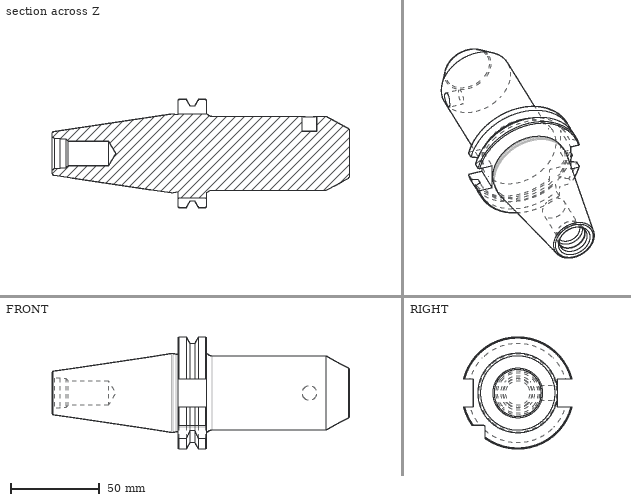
import cadquery as cq
import math

length = 168.2
taper_end = 67.5
gauge_plane = 68.5
relief_start = 70.2
flange_start = 71.2
flange_width = 16.3
flange_end = flange_start + flange_width
nose_start = 155.0

taper_small_radius = 12.3
neck_radius = 22.4
relief_radius = 22.0
flange_diameter = 63.5
flange_radius = flange_diameter / 2
groove_radius = 28.1
body_radius = 21.0
nose_radius = 13.8

small_end_chamfer = 0.8
small_end_chamfer_length = 0.5
flange_chamfer = 0.7
nose_chamfer = 0.5
root_fillet_radius = 3.7
root_fillet_height = 1.5

groove_centre = 79.4
groove_half_floor = 1.3
groove_half_mouth = groove_half_floor + (flange_radius - groove_radius) * math.tan(math.radians(30))

slot_width = 15.8
slot_floor_front = 25.2
slot_floor_back = 22.4
notch_y = 18.5
notch_z = 18.3
notch_fillet = 0.8

bore_mouth_radius = 9.6
bore_mouth_depth = 1.5
pilot_radius = 8.4
pilot_depth = 4.5
inner_pilot_radius = 8.0
inner_pilot_depth = 8.0
drill_radius = 6.9
drill_depth = 32.0
drill_half_angle = 59.0

screw_x = 145.5
screw_diameter = 8.2
screw_depth = 8.4


def make_turned_body():
    """Revolve the taper, flange, shank and nose about the X axis."""
    taper_slope = (neck_radius - taper_small_radius) / taper_end
    chamfer_radius = taper_small_radius + taper_slope * small_end_chamfer_length
    root_radius = body_radius + root_fillet_height
    root_length = math.sqrt(root_fillet_radius**2 - (root_fillet_radius - root_fillet_height) ** 2)
    root_end = flange_end + root_length
    half_angle = 0.5 * math.asin(root_length / root_fillet_radius)
    root_mid = (
        root_end - root_fillet_radius * math.sin(half_angle),
        body_radius + root_fillet_radius * (1 - math.cos(half_angle)),
    )
    nose_slope = (body_radius - nose_radius) / (length - nose_start)
    rim_chamfer_radius = flange_radius - flange_chamfer
    return (
        cq.Workplane("XY")
        .moveTo(0, 0)
        .lineTo(0, taper_small_radius - small_end_chamfer)
        .lineTo(small_end_chamfer_length, chamfer_radius)
        .lineTo(taper_end, neck_radius)
        .lineTo(gauge_plane, neck_radius)
        .lineTo(relief_start, relief_radius)
        .lineTo(flange_start, relief_radius)
        .lineTo(flange_start, rim_chamfer_radius)
        .lineTo(flange_start + flange_chamfer, flange_radius)
        .lineTo(groove_centre - groove_half_mouth, flange_radius)
        .lineTo(groove_centre - groove_half_floor, groove_radius)
        .lineTo(groove_centre + groove_half_floor, groove_radius)
        .lineTo(groove_centre + groove_half_mouth, flange_radius)
        .lineTo(flange_end - flange_chamfer, flange_radius)
        .lineTo(flange_end, rim_chamfer_radius)
        .lineTo(flange_end, root_radius)
        .threePointArc(root_mid, (root_end, body_radius))
        .lineTo(nose_start, body_radius)
        .lineTo(length - nose_chamfer, nose_radius + nose_slope * nose_chamfer)
        .lineTo(length, nose_radius - nose_chamfer)
        .lineTo(length, 0)
        .close()
        .revolve(360, (0, 0, 0), (1, 0, 0))
    )


def make_drawbar_bore():
    """Stepped blind bore with a conical drill point."""
    point_length = drill_radius / math.tan(math.radians(drill_half_angle))
    step_length = inner_pilot_radius - drill_radius
    return (
        cq.Workplane("XY")
        .moveTo(0, 0)
        .lineTo(0, bore_mouth_radius)
        .lineTo(bore_mouth_depth, pilot_radius)
        .lineTo(pilot_depth, pilot_radius)
        .lineTo(pilot_depth, inner_pilot_radius)
        .lineTo(inner_pilot_depth, inner_pilot_radius)
        .lineTo(inner_pilot_depth + step_length, drill_radius)
        .lineTo(drill_depth, drill_radius)
        .lineTo(drill_depth + point_length, 0)
        .close()
        .revolve(360, (0, 0, 0), (1, 0, 0))
    )


def make_drive_slot(side, floor):
    """Box that cuts one drive slot; side is +1 or -1 along Y."""
    depth = flange_radius
    return (
        cq.Workplane("XY")
        .box(flange_width, depth, slot_width)
        .translate((flange_start + flange_width / 2, side * (floor + depth / 2), 0))
    )


def make_notch():
    """Corner cutter with a rounded inner edge along X."""
    size = flange_radius
    return (
        cq.Workplane("XY")
        .box(flange_width, size, size)
        .edges("|X and >Y and >Z")
        .fillet(notch_fillet)
        .translate((flange_start + flange_width / 2, -notch_y - size / 2, -notch_z - size / 2))
    )


def make_screw_hole():
    """Blind radial hole entering the body from +Y."""
    return (
        cq.Workplane("XZ", origin=(screw_x, body_radius, 0))
        .circle(screw_diameter / 2)
        .extrude(screw_depth)
    )


result = (
    make_turned_body()
    .cut(make_drawbar_bore())
    .cut(make_drive_slot(-1, slot_floor_front))
    .cut(make_drive_slot(1, slot_floor_back))
    .cut(make_notch())
    .cut(make_screw_hole())
)